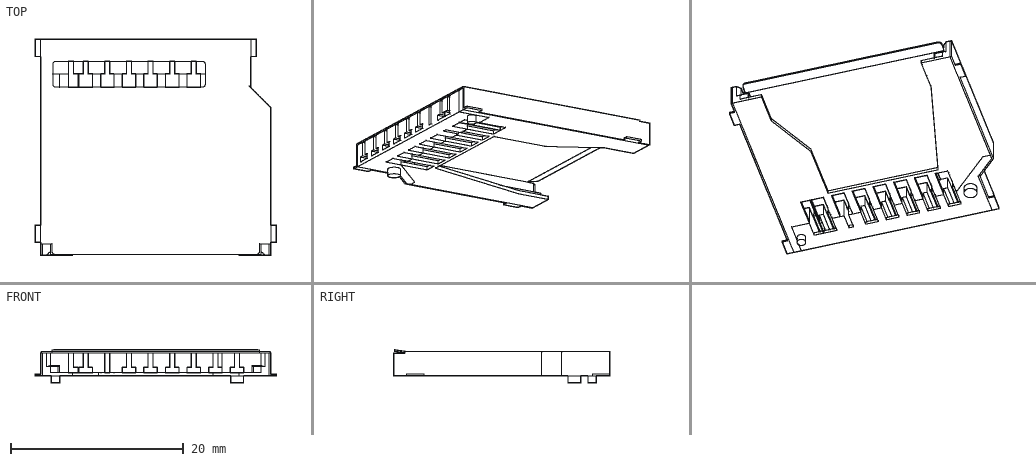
import cadquery as cq
import math

body_length = 25.0
front_y = -body_length / 2
back_y = body_length / 2

sheet = 0.2
cover_half_width = 13.3
cover_height = 2.85
cover_edge_radius = 0.2
roof_underside = cover_height - sheet

rear_right_x = 11.0
corner_rear_y = 6.9
corner_size = cover_half_width - rear_right_x
corner_front_y = corner_rear_y - corner_size

window_x_min = -11.9
window_x_max = 5.73
window_y_min = 6.95
window_y_max = 9.95
window_corner_radius = 0.35

lip_half_width = 12.0
lip_bend_y = -11.1
lip_notch_y = -11.2
lip_rise = 0.19
lip_length = 1.3
lip_corner_radius = 0.4

tab_reach = 0.65
tab_length = 2.0
front_tab_back_y = -9.0

floor_thickness = 0.4
cavity_half_width = 12.2
wall_front_y = 8.5
inner_corner_x = 7.66
slant_front_y = wall_front_y - (cavity_half_width - inner_corner_x)

rail_width = 1.05
rail_top = 1.2
rail_chamfer = 0.13

lead_in = 0.45
lead_in_drop = 0.13

opening_front_half_width = 9.63
opening_back_half_width = 6.63
opening_straight_end_y = -8.5
opening_back_y = 4.5
opening_left_slant_end_y = -2.5

contact_pitch = 2.5
first_contact_x = -8.1
contact_count = 8
closed_foot_contact = 1
blind_contact = contact_count - 1
slot_width = 0.55
foot_width = 1.52
foot_height = 1.0
slot_front_y = 5.0
base_slot_back_y = 10.5
side_slot_x = -10.07
side_foot_width = 1.1

peg_height = 0.8
pegs = [(1.0, -11.6, 10.45), (1.5, 9.4, 8.4)]


def block(x_min, x_max, y_min, y_max, z_min, z_max):
    """Box given by its limits."""
    size = (x_max - x_min, y_max - y_min, z_max - z_min)
    return cq.Workplane("XY").box(*size, centered=False).translate((x_min, y_min, z_min))


def plan_blank(inset, height):
    """Prism on the plan outline with the cut-away rear corner, `inset` inside the cover sides."""
    diagonal_shift = inset * math.tan(math.pi / 8)
    points = [
        (-cover_half_width + inset, front_y),
        (cover_half_width - inset, front_y),
        (cover_half_width - inset, corner_front_y - diagonal_shift),
        (rear_right_x - inset, corner_rear_y - diagonal_shift),
        (rear_right_x - inset, back_y),
        (-cover_half_width + inset, back_y),
    ]
    return cq.Workplane("XY").polyline(points).close().extrude(height)


def make_lip():
    """Roof tongue bent upward along the mouth, with rounded free corners."""
    bend_angle = math.degrees(math.atan2(lip_rise, lip_length))
    fold_start = (-lip_half_width, lip_bend_y, cover_height)
    fold_end = (lip_half_width, lip_bend_y, cover_height)
    tip_y = lip_bend_y - lip_length
    tongue = (
        block(-lip_half_width, lip_half_width, tip_y, lip_bend_y, roof_underside, cover_height)
        .edges("|Z and <Y")
        .fillet(lip_corner_radius)
        .rotate(fold_start, fold_end, -bend_angle)
    )
    bend = (
        cq.Workplane("XZ", origin=(0, lip_bend_y, cover_height))
        .center(0, -sheet / 2)
        .rect(2 * lip_half_width, sheet)
        .revolve(bend_angle, (1, sheet / 2, 0), (0, sheet / 2, 0))
    )
    return tongue.union(bend)


def make_cover():
    """Folded sheet-metal cover with the contact window, the lip and the solder tabs."""
    shell = plan_blank(0, cover_height)
    shell = shell.edges("|Y and >Z").fillet(cover_edge_radius)
    shell = shell.cut(plan_blank(sheet, roof_underside))

    shell = shell.cut(
        block(-cover_half_width, cover_half_width, front_y, lip_notch_y, roof_underside, cover_height)
    )
    shell = shell.union(make_lip())

    window = block(window_x_min, window_x_max, window_y_min, window_y_max, 0, cover_height)
    shell = shell.cut(window.edges("|Z").fillet(window_corner_radius))

    rear_tab_front_y = back_y - tab_length
    front_tab_front_y = front_tab_back_y - tab_length
    tab_places = [
        (-cover_half_width, -1, rear_tab_front_y),
        (-cover_half_width, -1, front_tab_front_y),
        (rear_right_x, 1, rear_tab_front_y),
        (cover_half_width, 1, front_tab_front_y),
    ]
    for wall_x, side, tab_y in tab_places:
        x_min, x_max = sorted((wall_x - side * sheet, wall_x + side * tab_reach))
        shell = shell.union(block(x_min, x_max, tab_y, tab_y + tab_length, 0, sheet))
    return shell


def make_block_blank():
    """Full-height space of the contact block, behind the end wall of the card space."""
    behind_wall = (
        cq.Workplane("XY")
        .polyline([
            (-cavity_half_width, wall_front_y),
            (inner_corner_x, wall_front_y),
            (cavity_half_width, slant_front_y),
            (cover_half_width, slant_front_y),
            (cover_half_width, back_y),
            (-cavity_half_width, back_y),
        ])
        .close()
        .extrude(roof_underside)
    )
    return behind_wall.intersect(plan_blank(sheet, roof_underside))


def contact_limits(index, width):
    """X limits of a space of the given width, centred on a contact."""
    center = first_contact_x + index * contact_pitch
    return center - width / 2, center + width / 2


def make_floor_opening():
    """Opening from the mouth inward, straight at first and then narrowing, faster on the -X side."""
    return (
        cq.Workplane("XY")
        .polyline([
            (-opening_front_half_width, front_y),
            (opening_front_half_width, front_y),
            (opening_front_half_width, opening_straight_end_y),
            (opening_back_half_width, opening_back_y),
            (-opening_back_half_width, opening_back_y),
            (-opening_back_half_width, opening_left_slant_end_y),
            (-opening_front_half_width, opening_straight_end_y),
        ])
        .close()
        .extrude(floor_thickness)
    )


def make_mouth_flare():
    """Lead-in at the mouth: wide at the front, narrowing to the card space."""

    def section(y, half_width, bottom):
        height = roof_underside - bottom
        middle = cq.Vector(0, y, bottom + height / 2)
        plane = cq.Plane(origin=middle, xDir=(1, 0, 0), normal=(0, -1, 0))
        return cq.Workplane(plane).rect(2 * half_width, height).wires().val()

    outer = section(front_y, cavity_half_width + lead_in, rail_top - lead_in_drop)
    inner = section(front_y + lead_in, cavity_half_width, rail_top)
    return cq.Workplane(cq.Solid.makeLoft([outer, inner], True))


def make_housing():
    """Floor with its opening and slots, and the side walls with the flared mouth."""
    body = plan_blank(sheet, roof_underside)
    card_space = block(
        -cavity_half_width, cavity_half_width, front_y, wall_front_y, floor_thickness, roof_underside
    )
    body = body.cut(card_space).cut(make_block_blank()).cut(make_mouth_flare()).cut(make_floor_opening())

    slots = [(side_slot_x, side_slot_x + side_foot_width)]
    for index in range(blind_contact):
        slots.append(contact_limits(index, foot_width))
    for x_min, x_max in slots:
        body = body.cut(block(x_min, x_max, slot_front_y, wall_front_y, 0, floor_thickness))
    return body


def make_rail(side):
    """Card rail along one side wall, chamfered at its mouth end."""
    outer_x = side * cavity_half_width
    inner_x = outer_x - side * rail_width
    rail_back_y = slant_front_y + rail_width if side > 0 else wall_front_y
    x_min, x_max = sorted((inner_x, outer_x))
    rail = block(x_min, x_max, front_y, rail_back_y, floor_thickness, rail_top)
    inner_end = "<X" if side > 0 else ">X"
    return rail.faces("<Y").edges(f">Z or {inner_end}").chamfer(rail_chamfer)


def cut_slot(body, x_limits, top, base_is_open):
    """Slot through the end wall; in the base it stops short of the back strip that joins the wall."""
    x_min, x_max = x_limits
    body = body.cut(block(x_min, x_max, slant_front_y, back_y, floor_thickness, top))
    if base_is_open:
        body = body.cut(block(x_min, x_max, slant_front_y, base_slot_back_y, 0, floor_thickness))
    return body


def make_contact_block():
    """End wall with contact slots, the two card rails and the locating pegs."""
    body = make_block_blank()
    body = cut_slot(body, (side_slot_x, side_slot_x + slot_width), roof_underside, True)
    body = cut_slot(body, (side_slot_x, side_slot_x + side_foot_width), foot_height, True)
    for index in range(contact_count):
        base_is_open = index != blind_contact
        body = cut_slot(body, contact_limits(index, slot_width), roof_underside, base_is_open)
        if index != closed_foot_contact:
            body = cut_slot(body, contact_limits(index, foot_width), foot_height, base_is_open)
    for side in (-1, 1):
        body = body.union(make_rail(side))
    for diameter, x, y in pegs:
        body = body.union(cq.Workplane("XY").center(x, y).circle(diameter / 2).extrude(-peg_height))
    return body


cover = make_cover()
housing = make_housing()
contact_block = make_contact_block()

result = cq.Compound.makeCompound([
    cover.solids().val(),
    housing.solids().val(),
    contact_block.solids().val(),
])